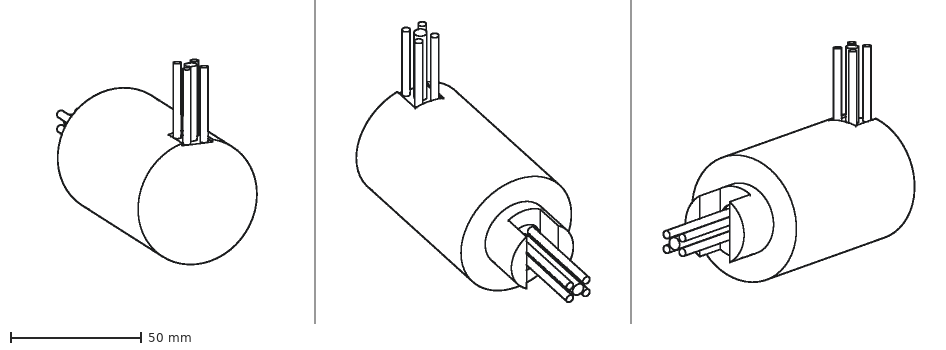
import cadquery as cq

total_length = 121.0
body_diameter = 50.0
body_length = 76.1
neck_diameter = 28.1
neck_length = 19.0
total_height = 78.0

slot_width = 14.3
slot_depth = 13.2

recess_diameter = 14.0
recess_depth = 1.0

pocket_length = 13.1
pocket_width = 12.8
pocket_depth = 1.8

core_diameter = 5.0
wire_diameter = 3.1
front_wire_offset_y = 3.8
front_wire_offset_z = 2.9
top_wire_offset_x = 4.6
top_wire_offset_y = 3.6
top_cable_from_end = 6.5
wire_embed = 1.2

body_radius = body_diameter / 2
body_front_x = total_length - body_length
neck_front_x = body_front_x - neck_length
slot_floor_x = neck_front_x + slot_depth
pocket_floor_z = body_radius - pocket_depth
top_wire_z = total_height - body_radius


def cable(plane, offset_x, offset_y, length):
    """Core wire and four outer wires, extruded from the given plane."""
    core = cq.Workplane(plane).circle(core_diameter / 2).extrude(length)
    wires = (
        cq.Workplane(plane)
        .rect(2 * offset_x, 2 * offset_y, forConstruction=True)
        .vertices()
        .circle(wire_diameter / 2)
        .extrude(length)
    )
    return core.union(wires)


body = cq.Workplane("YZ", origin=(body_front_x, 0, 0)).circle(body_radius).extrude(body_length)
neck = cq.Workplane("YZ", origin=(neck_front_x, 0, 0)).circle(neck_diameter / 2).extrude(neck_length)
slot = cq.Workplane("XY", origin=(neck_front_x, 0, 0)).box(
    slot_depth, slot_width, neck_diameter, centered=(False, True, True)
)
housing = body.union(neck.cut(slot))

recess = cq.Workplane("YZ", origin=(slot_floor_x, 0, 0)).circle(recess_diameter / 2).extrude(recess_depth)
housing = housing.cut(recess)

pocket_cut = cq.Workplane("XY", origin=(total_length - pocket_length, 0, pocket_floor_z)).box(
    pocket_length, pocket_width, body_radius, centered=(False, True, False)
)
housing = housing.cut(pocket_cut)

front_plane = cq.Plane(origin=(0, 0, 0), xDir=(0, 1, 0), normal=(1, 0, 0))
front_cable_length = slot_floor_x + recess_depth + wire_embed
front_cable = cable(front_plane, front_wire_offset_y, front_wire_offset_z, front_cable_length)

top_plane = cq.Plane(
    origin=(total_length - top_cable_from_end, 0, pocket_floor_z - wire_embed),
    xDir=(1, 0, 0),
    normal=(0, 0, 1),
)
top_cable_length = top_wire_z - pocket_floor_z + wire_embed
top_cable = cable(top_plane, top_wire_offset_x, top_wire_offset_y, top_cable_length)

result = housing.union(front_cable).union(top_cable)